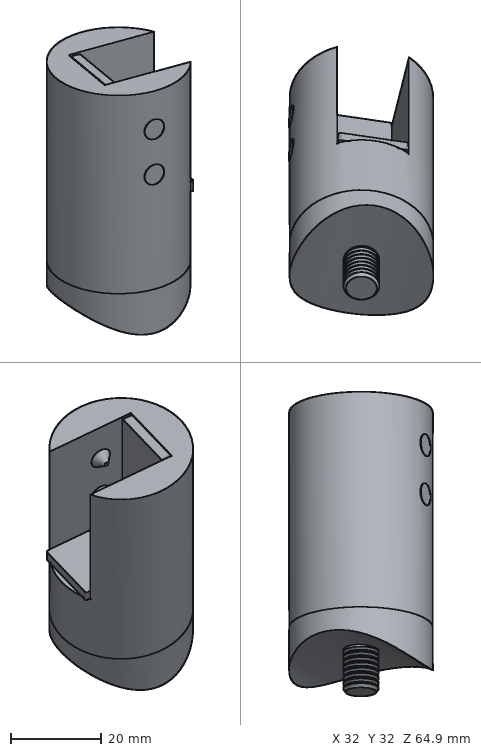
import cadquery as cq

total_height = 64.85
outer_diameter = 32.0

saddle_top_z = 14.85
saddle_crest_z = 9.85
saddle_radius = 24.0

slot_width = 16.2
slot_back_y = -8.05
slot_floor_z = 32.0

liner_width = 15.8
liner_thickness = 2.45
liner_front_y = 14.8
liner_top_z = 64.65
liner_corner_radius = 0.45

screw_diameter = 5.0
screw_tip_diameter = 1.05
screw_tip_x = 5.85
screw_outer_x = outer_diameter / 2
screw_heights = [55.2, 43.8]

stud_diameter = 8.0
stud_core_diameter = 6.8
stud_chamfer_height = 0.8
thread_top_z = 9.4
thread_count = 7
crest_width = 0.2

stud_radius = stud_diameter / 2
stud_core_radius = stud_core_diameter / 2
thread_pitch = (thread_top_z - stud_chamfer_height) / thread_count


def make_housing():
    body = (
        cq.Workplane("XY")
        .workplane(offset=saddle_top_z)
        .circle(outer_diameter / 2)
        .extrude(total_height - saddle_top_z)
    )
    slot = cq.Workplane("XY").box(
        slot_width,
        outer_diameter,
        total_height - slot_floor_z,
        centered=(True, False, False),
    ).translate((0, slot_back_y, slot_floor_z))
    body = body.cut(slot)
    for height in screw_heights:
        hole = (
            cq.Workplane("YZ")
            .center(0, height)
            .circle(screw_diameter / 2)
            .extrude(outer_diameter / 2)
        )
        body = body.cut(hole)
    return body


def make_saddle():
    body = cq.Workplane("XY").circle(outer_diameter / 2).extrude(saddle_top_z)
    hollow = (
        cq.Workplane("XZ")
        .center(0, saddle_crest_z - saddle_radius)
        .circle(saddle_radius)
        .extrude(outer_diameter / 2, both=True)
    )
    stud_hole = cq.Workplane("XY").circle(stud_radius).extrude(saddle_top_z)
    return body.cut(hollow).cut(stud_hole)


def make_liner():
    base = (
        cq.Workplane("XY")
        .box(
            liner_width,
            liner_front_y - slot_back_y,
            liner_thickness,
            centered=(True, False, False),
        )
        .edges("|Z and >Y")
        .fillet(liner_corner_radius)
    )
    upright = (
        cq.Workplane("XY")
        .box(
            liner_width,
            liner_thickness,
            liner_top_z - slot_floor_z,
            centered=(True, False, False),
        )
        .edges("|Y and >Z")
        .fillet(liner_corner_radius)
    )
    return base.union(upright).translate((0, slot_back_y, slot_floor_z))


def make_set_screw(height):
    profile = (
        cq.Workplane("XY")
        .moveTo(screw_tip_x, 0)
        .lineTo(screw_tip_x, screw_tip_diameter / 2)
        .lineTo(slot_width / 2, screw_diameter / 2)
        .lineTo(screw_outer_x, screw_diameter / 2)
        .lineTo(screw_outer_x, 0)
        .close()
    )
    return profile.revolve(360, (0, 0, 0), (1, 0, 0)).translate((0, 0, height))


def make_stud():
    profile = (
        cq.Workplane("XZ")
        .moveTo(0, 0)
        .lineTo(stud_core_radius, 0)
        .lineTo(stud_radius, stud_chamfer_height)
    )
    for index in range(thread_count):
        crest_z = stud_chamfer_height + index * thread_pitch
        profile = (
            profile.lineTo(stud_radius, crest_z + crest_width / 2)
            .lineTo(stud_core_radius, crest_z + thread_pitch / 2)
            .lineTo(stud_radius, crest_z + thread_pitch - crest_width / 2)
        )
    profile = profile.lineTo(stud_radius, saddle_top_z).lineTo(0, saddle_top_z).close()
    return profile.revolve(360, (0, 0, 0), (0, 1, 0))


housing = make_housing()
saddle = make_saddle()
liner = make_liner()
stud = make_stud()
set_screws = [make_set_screw(height) for height in screw_heights]

result = cq.Compound.makeCompound(
    [
        housing.val(),
        saddle.val(),
        liner.val(),
        stud.val(),
        *[screw.val() for screw in set_screws],
    ]
)